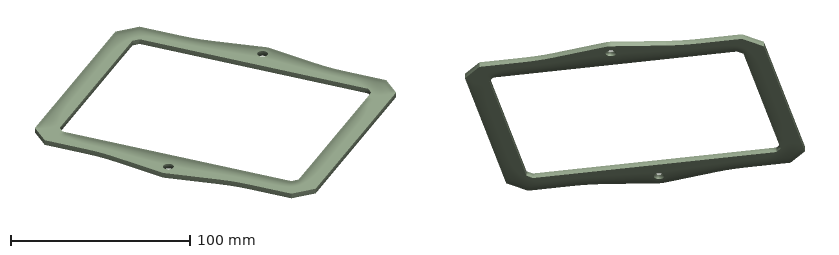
import cadquery as cq
import math

length = 170.0
body_width = 135.0
thickness = 3.0

rail_width = 12.7
outer_chamfer = 10.3
inner_chamfer = 3.1

ear_slope = math.radians(10.0)
ear_tip_radius = 7.5
ear_root_radius = 100.0
hole_diameter = 6.0
hole_spacing = 134.0


def make_body():
    """Solid rectangular plate with chamfered corners."""
    plate = cq.Workplane("XY").rect(length, body_width).extrude(thickness)
    return plate.edges("|Z").chamfer(outer_chamfer)


def make_ear():
    """Ear on the +Y side: a tip rounded about the hole, two slopes and tangent concave roots."""
    base_y = body_width / 2
    tip_center_y = hole_spacing / 2
    tip_y = tip_center_y + ear_tip_radius
    overlap_y = base_y - rail_width / 2
    root_center_y = base_y + ear_root_radius

    tip_end_x = ear_tip_radius * math.sin(ear_slope)
    tip_end_y = tip_center_y + ear_tip_radius * math.cos(ear_slope)

    slope_end_y = root_center_y - ear_root_radius * math.cos(ear_slope)
    slope_end_x = tip_end_x + (tip_end_y - slope_end_y) / math.tan(ear_slope)

    root_center_x = slope_end_x + ear_root_radius * math.sin(ear_slope)
    root_mid_x = root_center_x - ear_root_radius * math.sin(ear_slope / 2)
    root_mid_y = root_center_y - ear_root_radius * math.cos(ear_slope / 2)

    return (
        cq.Workplane("XY")
        .moveTo(-root_center_x, base_y)
        .threePointArc((-root_mid_x, root_mid_y), (-slope_end_x, slope_end_y))
        .lineTo(-tip_end_x, tip_end_y)
        .threePointArc((0, tip_y), (tip_end_x, tip_end_y))
        .lineTo(slope_end_x, slope_end_y)
        .threePointArc((root_mid_x, root_mid_y), (root_center_x, base_y))
        .lineTo(root_center_x, overlap_y)
        .lineTo(-root_center_x, overlap_y)
        .close()
        .extrude(thickness)
    )


def make_window():
    """Central opening that leaves a rail of constant width around the body."""
    window_length = length - 2 * rail_width
    window_width = body_width - 2 * rail_width
    window = cq.Workplane("XY").rect(window_length, window_width).extrude(thickness)
    return window.edges("|Z").chamfer(inner_chamfer)


def make_holes():
    """Through holes, one in each ear."""
    return (
        cq.Workplane("XY")
        .pushPoints([(0, hole_spacing / 2), (0, -hole_spacing / 2)])
        .circle(hole_diameter / 2)
        .extrude(thickness)
    )


ear = make_ear()
plate = make_body().union(ear).union(ear.mirror("XZ")).clean()
result = plate.cut(make_window()).cut(make_holes())